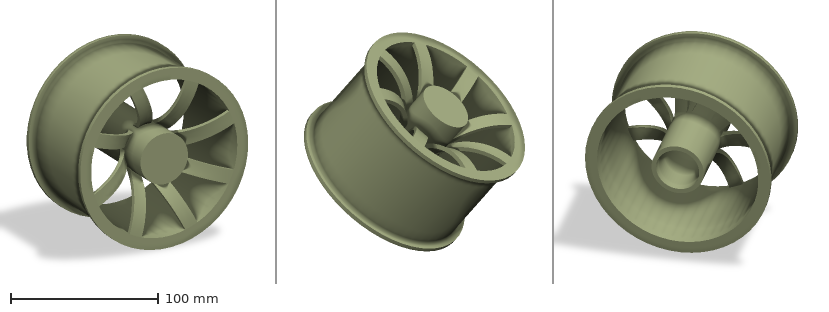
import cadquery as cq
import math

width = 76.0
flange_radius = 65.0
flange_thickness = 3.0
drum_radius = 60.0
bore_radius = 56.5
root_fillet = 2.0

hub_radius = 18.3
hub_bore_radius = 15.1
hub_bore_center = width / 2

spoke_count = 8
spoke_width = 10.0
spoke_thickness = 3.0
first_spoke_angle = 18.0
flare_radius = 41.6
flare_inner_radius = 15.6
flare_end = width - spoke_thickness
wall_overlap = 1.3


def disc(radius, start, length):
    """Cylinder along X."""
    return cq.Workplane("YZ", origin=(start, 0, 0)).circle(radius).extrude(length)


def revolve_about_x(profile):
    """Revolve a closed XY profile, with radius along Y, about the X axis."""
    return profile.revolve(360, (0, 0, 0), (1, 0, 0))


def make_rim():
    left = flange_thickness
    right = width - flange_thickness
    diagonal = root_fillet * (1 - math.sqrt(0.5))
    root_radius = drum_radius + root_fillet
    profile = (
        cq.Workplane("XY")
        .moveTo(0, bore_radius)
        .lineTo(0, flange_radius)
        .lineTo(left, flange_radius)
        .lineTo(left, root_radius)
        .threePointArc((left + diagonal, drum_radius + diagonal), (left + root_fillet, drum_radius))
        .lineTo(right - root_fillet, drum_radius)
        .threePointArc((right - diagonal, drum_radius + diagonal), (right, root_radius))
        .lineTo(right, flange_radius)
        .lineTo(width, flange_radius)
        .lineTo(width, bore_radius)
        .close()
    )
    return revolve_about_x(profile)


def make_hub_bore():
    bottom = cq.Workplane("XY").sphere(hub_bore_radius).translate((hub_bore_center, 0, 0))
    return disc(hub_bore_radius, 0, hub_bore_center).union(bottom)


def make_flare_shell():
    """Shell between two concentric quarter arcs, thickened away from the open hub mouth."""
    center_radius = flare_inner_radius + flare_radius
    center_x = flare_end - flare_radius
    outer = flare_radius + spoke_thickness
    halfway = math.sqrt(0.5)
    profile = (
        cq.Workplane("XY")
        .moveTo(center_x, center_radius - flare_radius)
        .threePointArc(
            (center_x + flare_radius * halfway, center_radius - flare_radius * halfway),
            (center_x + flare_radius, center_radius),
        )
        .lineTo(center_x + outer, center_radius)
        .threePointArc(
            (center_x + outer * halfway, center_radius - outer * halfway),
            (center_x, center_radius - outer),
        )
        .close()
    )
    return revolve_about_x(profile)


def make_spokes():
    """Parallel-sided strips, each with one edge on a line through the axis."""
    facing_minus_x = cq.Plane(origin=(width, 0, 0), xDir=(0, -1, 0), normal=(-1, 0, 0))
    strip = (
        cq.Workplane(facing_minus_x)
        .rect(bore_radius + wall_overlap, spoke_width, centered=False)
        .extrude(width)
    )
    strips = cq.Workplane("XY")
    for index in range(spoke_count):
        angle = first_spoke_angle + index * 360 / spoke_count
        strips = strips.union(strip.rotate((0, 0, 0), (-1, 0, 0), angle))
    hub_core = disc(hub_radius - wall_overlap, 0, width)
    between_walls = disc(bore_radius + wall_overlap, 0, width).cut(hub_core)
    return strips.intersect(make_flare_shell()).intersect(between_walls)


hub = disc(hub_radius, 0, width)
result = make_rim().union(hub).union(make_spokes()).cut(make_hub_bore())